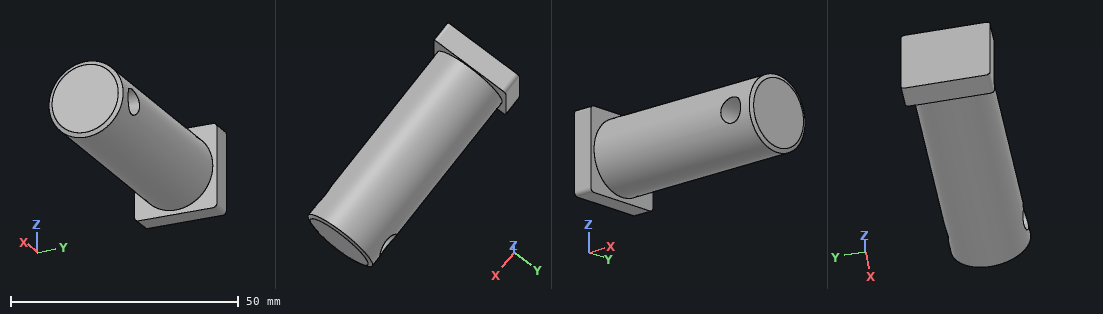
import cadquery as cq

total_length = 52.0
head_size = 20.0
head_thickness = 5.0
head_corner_radius = 1.0
shank_diameter = 18.0
tip_chamfer_length = 0.4
tip_chamfer_depth = 1.0
cross_hole_diameter = 6.0
cross_hole_from_tip = 6.0

shank_radius = shank_diameter / 2
cross_hole_x = total_length - cross_hole_from_tip


def make_head():
    """Square head in the YZ plane with its four corners rounded."""
    head = cq.Workplane("YZ").rect(head_size, head_size).extrude(head_thickness)
    return head.edges("|X").fillet(head_corner_radius)


def make_shank():
    """Round shank along X, revolved with a shallow chamfer at its tip."""
    profile = (
        cq.Workplane("XY")
        .lineTo(total_length, 0)
        .lineTo(total_length, shank_radius - tip_chamfer_depth)
        .lineTo(total_length - tip_chamfer_length, shank_radius)
        .lineTo(0, shank_radius)
        .close()
    )
    return profile.revolve(360, (0, 0, 0), (1, 0, 0))


def make_cross_hole():
    """Cylinder along Y that passes right through the shank."""
    return (
        cq.Workplane("XZ")
        .center(cross_hole_x, 0)
        .circle(cross_hole_diameter / 2)
        .extrude(shank_radius, both=True)
    )


result = make_head().union(make_shank()).cut(make_cross_hole())